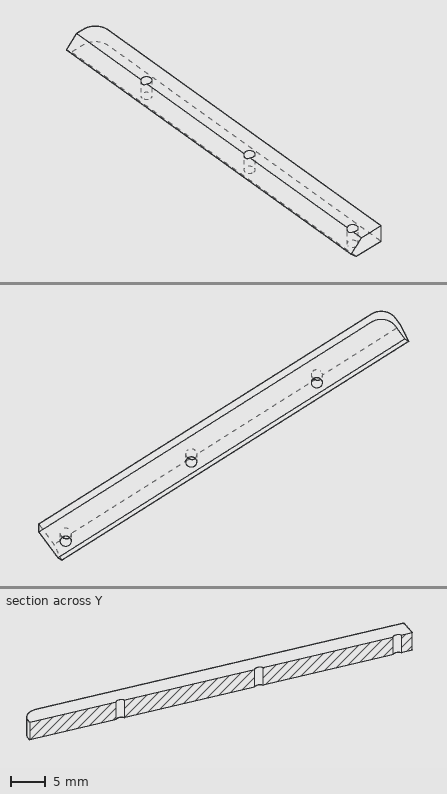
import cadquery as cq

LENGTH = 60.8
WIDTH = 5.9
HEIGHT = 3.0

EDGE_HEIGHT = 1.0
LOWER_BEVEL = EDGE_HEIGHT
UPPER_BEVEL = HEIGHT - EDGE_HEIGHT

CORNER_RADIUS = 2.5

HOLE_DIAMETER = 1.6
HOLE_COUNT = 3
HOLE_PITCH = 22.0
FIRST_HOLE_X = 14.4
HOLE_Y = 2.5


def make_bar():
    """Bevelled bar: front edge on y = 0, base on z = 0, running along +X."""
    return (
        cq.Workplane("YZ")
        .moveTo(0, EDGE_HEIGHT)
        .lineTo(LOWER_BEVEL, 0)
        .lineTo(WIDTH, 0)
        .lineTo(WIDTH, HEIGHT)
        .lineTo(UPPER_BEVEL, HEIGHT)
        .close()
        .extrude(LENGTH)
    )


def round_rear_corner(bar):
    """Round the vertical edge where the -X end meets the rear face."""
    return bar.edges("|Z and <X and >Y").fillet(CORNER_RADIUS)


def drill_holes(bar):
    """Drill the row of equally spaced vertical holes right through the bar."""
    centers = [(FIRST_HOLE_X + i * HOLE_PITCH, HOLE_Y) for i in range(HOLE_COUNT)]
    drills = cq.Workplane("XY").pushPoints(centers).circle(HOLE_DIAMETER / 2).extrude(HEIGHT)
    return bar.cut(drills)


result = drill_holes(round_rear_corner(make_bar()))